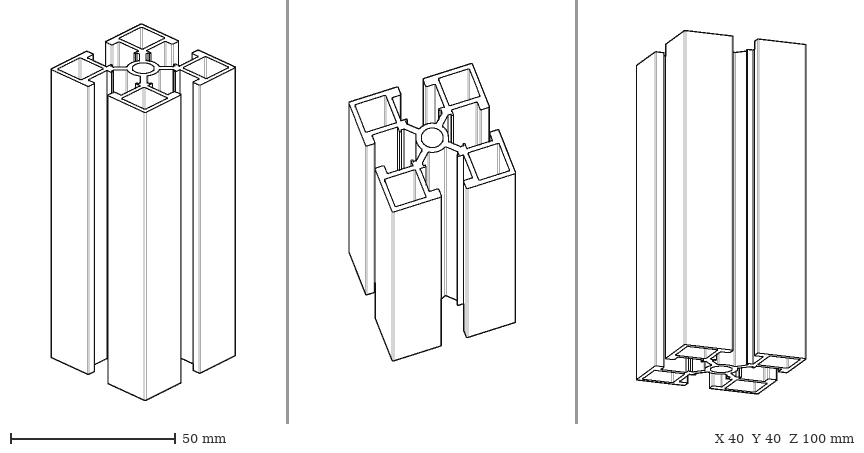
import cadquery as cq
import math

SIDE = 40.0
LENGTH = 100.0
CORNER_RADIUS = 0.5

SLOT_OPENING = 8.0
SLOT_INNER_WIDTH = 14.0
LIP_THICKNESS = 3.0
WALL = 1.5
CAVITY_RADIUS = 0.4
LIP_RADIUS = 0.4
SLOT_CORNER_RADIUS = 0.3

BARB_GAP = 10.2
BARB_THICKNESS = 0.6
SLOT_FLOOR = 8.7
NECK_HALF_WIDTH = 5.7

HUB_DIAMETER = 10.0
BORE_DIAMETER = 6.7
SPOKE_WIDTH = 2.0
HUB_FILLET = 0.4

half_side = SIDE / 2
lip_end = SLOT_OPENING / 2
lip_back = half_side - LIP_THICKNESS
slot_wall = SLOT_INNER_WIDTH / 2
barb_tip = BARB_GAP / 2
hub_radius = HUB_DIAMETER / 2
barb_under = SLOT_FLOOR - BARB_THICKNESS
spoke_offset = SPOKE_WIDTH / math.sqrt(2)


def fillet_upright_edge(body, x, y, radius):
    """Round the full-length edge that stands at (x, y)."""
    edge = cq.selectors.NearestToPointSelector((x, y, LENGTH / 2))
    return body.edges(edge).fillet(radius)


def corner_section():
    """Corner box with its lips, barbs and spoke, in the +X +Y quadrant."""
    slot_side = [
        (0, spoke_offset),
        (NECK_HALF_WIDTH, NECK_HALF_WIDTH + spoke_offset),
        (NECK_HALF_WIDTH, barb_under),
        (barb_tip, barb_under),
        (barb_tip, SLOT_FLOOR),
        (slot_wall, SLOT_FLOOR),
        (slot_wall, lip_back),
        (lip_end, lip_back),
        (lip_end, half_side),
    ]
    mirrored_side = [(y, x) for x, y in reversed(slot_side)]
    outline = [(0, 0)] + slot_side + [(half_side, half_side)] + mirrored_side
    body = cq.Workplane("XY").polyline(outline).close().extrude(LENGTH)
    body = fillet_upright_edge(body, half_side, half_side, CORNER_RADIUS)

    slot_side_radii = [
        (lip_end, half_side, LIP_RADIUS),
        (lip_end, lip_back, LIP_RADIUS),
        (slot_wall, lip_back, SLOT_CORNER_RADIUS),
    ]
    for x, y, radius in slot_side_radii:
        body = fillet_upright_edge(body, x, y, radius)
        body = fillet_upright_edge(body, y, x, radius)
    return body


def corner_cavity():
    """Square hollow of a corner box, with rounded corners."""
    near = slot_wall + WALL
    size = half_side - WALL - near
    hollow = cq.Workplane("XY").rect(size, size).extrude(LENGTH)
    hollow = hollow.edges("|Z").fillet(CAVITY_RADIUS)
    center = near + size / 2
    return hollow.translate((center, center, 0))


corner = corner_section().cut(corner_cavity())
profile = cq.Workplane("XY").circle(hub_radius).extrude(LENGTH)
for quadrant in range(4):
    profile = profile.union(corner.rotate((0, 0, 0), (0, 0, 1), 90 * quadrant))

junction_half_angle = math.asin(SPOKE_WIDTH / HUB_DIAMETER)
for quadrant in range(4):
    spoke_angle = math.radians(45 + 90 * quadrant)
    for side in (-1, 1):
        angle = spoke_angle + side * junction_half_angle
        junction_x = hub_radius * math.cos(angle)
        junction_y = hub_radius * math.sin(angle)
        profile = fillet_upright_edge(profile, junction_x, junction_y, HUB_FILLET)

bore = cq.Workplane("XY").circle(BORE_DIAMETER / 2).extrude(LENGTH)
result = profile.cut(bore)